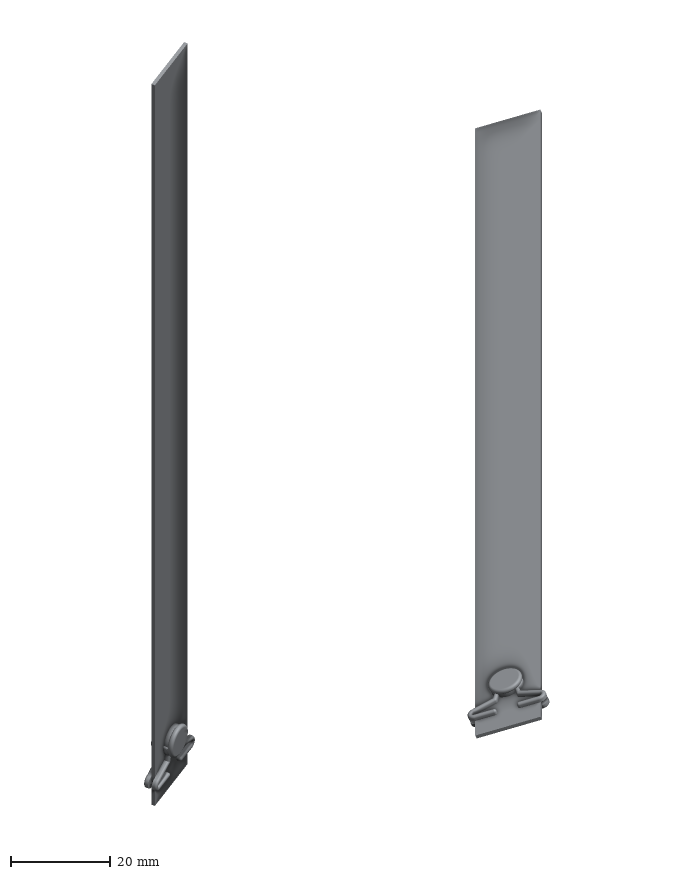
import cadquery as cq
import math

strip_length = 200.0
strip_width = 14.0
strip_thickness = 0.8

total_depth = 5.0
rim_radius = 3.5
rim_thickness = 1.2
rim_fillet = 0.55
neck_radius = 3.2
disc_height = 13.0

arm_depth = 3.0
arm_thickness = 1.0
arm_fillet = 0.48
arm_span = 16.8
foot_height = 4.8
foot_gap = 5.5
curl_radius = 1.5
root_radius = 3.0
root_sweep = 45.0
shoulder_y = 2.5
shoulder_height = 9.0

strip_face = strip_thickness / 2
rim_start = total_depth / 2 - rim_thickness
bend_radius = curl_radius - arm_thickness / 2
curl_y = arm_span / 2 - curl_radius
curl_height = foot_height + curl_radius


def curl_point(angle):
    """Point (Y, Z) on the centre line of the curl."""
    return (curl_y + bend_radius * math.cos(angle), curl_height + bend_radius * math.sin(angle))


def neck_point(angle):
    """Point (Y, Z) where the arm's centre line follows the neck, angle in degrees below +Y."""
    below = math.radians(angle)
    return (root_radius * math.cos(below), disc_height - root_radius * math.sin(below))


def make_arm():
    """Arm on the +Y side: root, slope, curl and foot, as a band of even thickness."""
    to_shoulder_y = shoulder_y - curl_y
    to_shoulder_z = shoulder_height - curl_height
    reach = math.hypot(to_shoulder_y, to_shoulder_z)
    tangent = math.atan2(to_shoulder_z, to_shoulder_y) - math.acos(bend_radius / reach)
    centre_line = (
        cq.Workplane("YZ")
        .moveTo(*neck_point(0))
        .threePointArc(neck_point(root_sweep / 2), neck_point(root_sweep))
        .lineTo(shoulder_y, shoulder_height)
        .lineTo(*curl_point(tangent))
        .threePointArc(curl_point(0), curl_point(-math.pi / 2))
        .lineTo(foot_gap / 2, foot_height + arm_thickness / 2)
    )
    outline = centre_line.wire().val().offset2D(arm_thickness / 2)[0]
    depth = cq.Vector(arm_depth / 2 - strip_face, 0, 0)
    band = cq.Workplane(cq.Solid.extrudeLinear(outline, [], depth)).translate((strip_face, 0, 0))
    return band.faces(">X").edges().fillet(arm_fillet)


def make_button():
    """Button on the +X face of the strip."""
    neck = (
        cq.Workplane("YZ", origin=(strip_face, 0, disc_height))
        .circle(neck_radius)
        .extrude(rim_start - strip_face)
    )
    rim = (
        cq.Workplane("YZ", origin=(rim_start, 0, disc_height))
        .circle(rim_radius)
        .extrude(rim_thickness)
        .edges("%CIRCLE").fillet(rim_fillet)
    )
    arm = make_arm()
    return neck.union(rim).union(arm).union(arm.mirror("XZ"))


strip = cq.Workplane("XY").box(
    strip_thickness, strip_width, strip_length, centered=(True, True, False)
)

buttons = [make_button().rotate((0, 0, 0), (0, 0, 1), turn) for turn in (0, 180)]

result = cq.Compound.makeCompound([strip.val(), *[button.val() for button in buttons]])